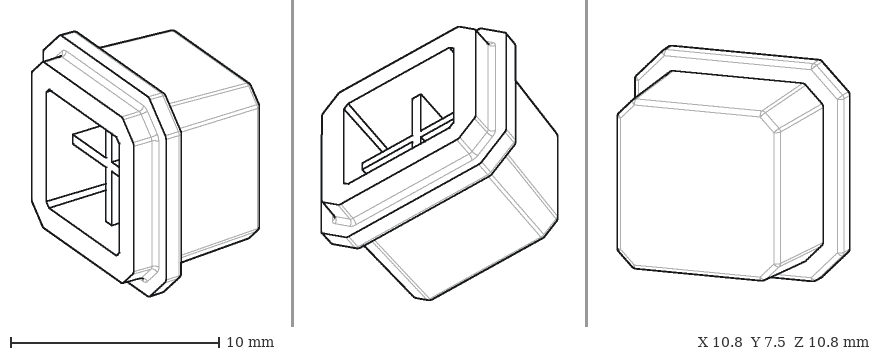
import cadquery as cq
import math

overall_length = 7.5
edge_radius = 0.25

flange_width = 10.8
flange_chamfer = 1.5
flange_thickness = 0.99
flange_draft = 1.0

neck_width = 9.02
neck_chamfer = 1.02
neck_length = 1.25
neck_draft = 1.0

plug_width = 8.85
plug_chamfer = 0.98
plug_draft = 2.5

pocket_width = 6.4
pocket_chamfer = 0.25
pocket_draft = 1.0
end_wall = 1.0

rib_thickness = 0.51
rib_recess = 1.5
rib_draft = 1.0

flange_back = neck_length + flange_thickness
plug_length = overall_length - flange_back
pocket_depth = overall_length - end_wall


def octagon_prism(y, width, chamfer, length, draft, direction=1):
    """Chamfered square starting at y, running along direction * Y and narrowing by the draft angle."""
    half = width / 2
    flat = half - chamfer
    outline = [
        (flat, half), (half, flat), (half, -flat), (flat, -half),
        (-flat, -half), (-half, -flat), (-half, flat), (-flat, half),
    ]
    plane = cq.Plane(origin=(0, y, 0), xDir=(1, 0, 0), normal=(0, direction, 0))
    return cq.Workplane(plane).polyline(outline).close().extrude(length, taper=draft)


def round_corners(prism):
    """Round the eight edges that run along the length of a prism."""
    return prism.edges("not(#Y)").fillet(edge_radius)


def make_flange():
    blank = octagon_prism(neck_length, flange_width, flange_chamfer, flange_thickness, flange_draft)
    flange = round_corners(blank)
    return flange.faces(">Y").edges().fillet(edge_radius)


def make_neck():
    blank = octagon_prism(neck_length, neck_width, neck_chamfer, neck_length, neck_draft, direction=-1)
    return round_corners(blank)


def make_plug():
    blank = octagon_prism(flange_back, plug_width, plug_chamfer, plug_length, plug_draft)
    plug = round_corners(blank)
    return plug.faces(">Y").edges().fillet(edge_radius)


def make_rib():
    """One drafted rib along X that thickens down to the pocket floor."""
    growth = (pocket_depth - rib_recess) * math.tan(math.radians(rib_draft))
    front_half = rib_thickness / 2
    floor_half = front_half + growth
    section = [
        (rib_recess, -front_half), (rib_recess, front_half),
        (pocket_depth, floor_half), (pocket_depth, -floor_half),
    ]
    return cq.Workplane("YZ").polyline(section).close().extrude(pocket_width / 2, both=True)


def make_pocket():
    """Drafted cavity with the cross ribs left standing in it."""
    cavity = octagon_prism(0, pocket_width, pocket_chamfer, pocket_depth, pocket_draft)
    rib = make_rib()
    return cavity.cut(rib).cut(rib.rotate((0, 0, 0), (0, 1, 0), 90))


def make_rim():
    """Neck and flange joined, with a fillet where the neck meets the front of the flange."""
    margin = 0.01
    reach = neck_width / 2 + margin
    neck_root = cq.selectors.BoxSelector(
        (-reach, neck_length - margin, -reach),
        (reach, neck_length + margin, reach),
    )
    return make_neck().union(make_flange()).edges(neck_root).fillet(edge_radius)


result = make_rim().union(make_plug()).cut(make_pocket())